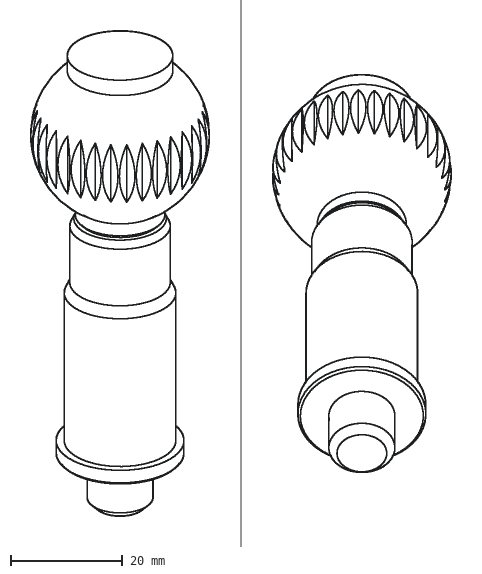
import cadquery as cq
import math

total_height = 91.0
flange_bottom_z = 10.0
flange_height = 3.0
shoulder_z = 42.95
shoulder_height = 2.1
shaft_top_z = 58.0

pin_radius = 5.9
pin_chamfer = 1.5
flange_radius = 11.5
flange_chamfer = 0.5
sleeve_radius = 10.0
stem_radius = 9.0
stem_chamfer_height = 1.5
stem_chamfer_width = 0.7

ball_radius = 16.0
ball_center_z = total_height - ball_radius
cap_radius = 9.5
neck_radius = 8.0
neck_chamfer = 0.7

flute_count = 33
flute_root_radius = 14.9
flute_angle = 107.0
flute_cutter_depth = 1.4


def sphere_half_height(radius):
    """Distance from the ball's centre plane to where it has the given radius."""
    return math.sqrt(ball_radius**2 - radius**2)


def make_shaft():
    """Turned shaft, revolved from its half profile."""
    flange_top_z = flange_bottom_z + flange_height
    profile = (
        cq.Workplane("XZ")
        .moveTo(0, 0)
        .lineTo(pin_radius - pin_chamfer, 0)
        .lineTo(pin_radius, pin_chamfer)
        .lineTo(pin_radius, flange_bottom_z)
        .lineTo(flange_radius - flange_chamfer, flange_bottom_z)
        .lineTo(flange_radius, flange_bottom_z + flange_chamfer)
        .lineTo(flange_radius, flange_top_z)
        .lineTo(sleeve_radius, flange_top_z)
        .lineTo(sleeve_radius, shoulder_z)
        .lineTo(stem_radius, shoulder_z + shoulder_height)
        .lineTo(stem_radius, shaft_top_z - stem_chamfer_height)
        .lineTo(stem_radius - stem_chamfer_width, shaft_top_z)
        .lineTo(0, shaft_top_z)
        .close()
    )
    return profile.revolve(360, (0, 0), (0, 1))


def make_knob_blank():
    """Turned knob before its flutes are cut."""
    ball_bottom_z = ball_center_z - sphere_half_height(neck_radius)
    ball_top_z = ball_center_z + sphere_half_height(cap_radius)
    profile = (
        cq.Workplane("XZ")
        .moveTo(0, shaft_top_z)
        .lineTo(neck_radius - neck_chamfer, shaft_top_z)
        .lineTo(neck_radius, shaft_top_z + neck_chamfer)
        .lineTo(neck_radius, ball_bottom_z)
        .threePointArc((ball_radius, ball_center_z), (cap_radius, ball_top_z))
        .lineTo(cap_radius, total_height)
        .lineTo(0, total_height)
        .close()
    )
    return profile.revolve(360, (0, 0), (0, 1))


def make_flute_cutter():
    """Upright V-shaped prism whose root edge faces the axis on the +X side."""
    half_width = flute_cutter_depth * math.tan(math.radians(flute_angle / 2))
    outer_x = flute_root_radius + flute_cutter_depth
    return (
        cq.Workplane("XY", origin=(0, 0, ball_center_z - ball_radius))
        .moveTo(flute_root_radius, 0)
        .lineTo(outer_x, half_width)
        .lineTo(outer_x, -half_width)
        .close()
        .extrude(2 * ball_radius)
    )


def make_knob():
    """Ball knob with evenly spaced grip flutes, one of them at +X."""
    knob = make_knob_blank()
    cutter = make_flute_cutter()
    for index in range(flute_count):
        knob = knob.cut(cutter.rotate((0, 0, 0), (0, 0, 1), index * 360 / flute_count))
    return knob


shaft = make_shaft()
knob = make_knob()

result = cq.Compound.makeCompound([shaft.val(), knob.val()])